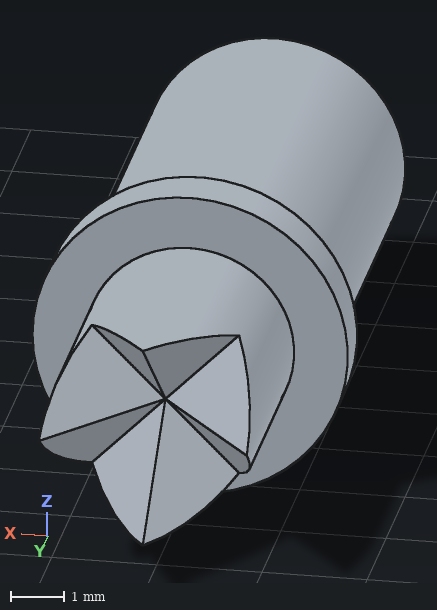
import cadquery as cq
import math

total_length = 15.0
flange_diameter = 6.0
flange_thickness = 1.0
body_diameter = 4.95
chamfer_length = 1.0
end_diameter = 3.81
crown_diameter = 3.96
crown_length = 5.0
groove_depth = 2.4

tip_y = total_length / 2
crown_base_y = tip_y - crown_length
flange_base_y = crown_base_y - flange_thickness
end_y = -total_length / 2
crown_radius = crown_diameter / 2
groove_half_width = crown_radius / math.sqrt(2)


def turned_pin():
    """Revolve the chamfered body, flange and plain crown about Y."""
    return (
        cq.Workplane("XY")
        .moveTo(0, end_y)
        .lineTo(end_diameter / 2, end_y)
        .lineTo(body_diameter / 2, end_y + chamfer_length)
        .lineTo(body_diameter / 2, flange_base_y)
        .lineTo(flange_diameter / 2, flange_base_y)
        .lineTo(flange_diameter / 2, crown_base_y)
        .lineTo(crown_radius, crown_base_y)
        .lineTo(crown_radius, tip_y)
        .lineTo(0, tip_y)
        .close()
        .revolve(360, (0, 0, 0), (0, 1, 0))
    )


def crown_groove(angle):
    """V-groove across the crown, turned about Y by the given angle."""
    groove = (
        cq.Workplane("XY")
        .moveTo(-groove_half_width, tip_y)
        .lineTo(0, tip_y - groove_depth)
        .lineTo(groove_half_width, tip_y)
        .close()
        .extrude(crown_diameter, both=True)
    )
    return groove.rotate((0, 0, 0), (0, 1, 0), angle)


result = turned_pin()
for groove_angle in (45, 135):
    result = result.cut(crown_groove(groove_angle))